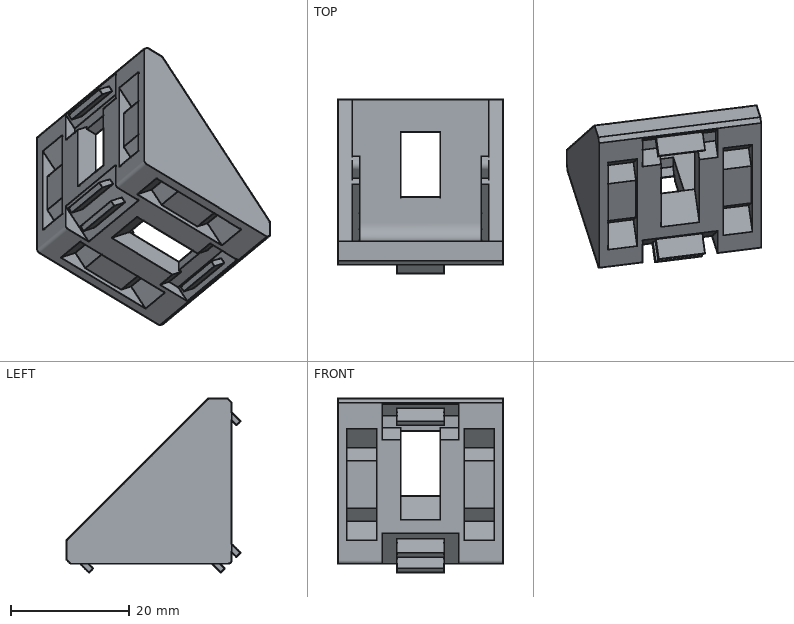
import cadquery as cq
import math

OVERALL = 29.5
LEG = 28.0
WIDTH = LEG
PLATE = 4.0
END_CHAMFER = 0.7
CORNER_RADIUS = 0.6

WALL = 2.48
HOLLOW_RADIUS = 3.0

RIB_THICKNESS = 2.07
RIB_PROJECTION = 1.2
RIB_GAP = 2.55
RIB_LIP_RADIUS = 1.0

SLOT_WIDTH = 6.6
SLOT_START = 7.5
SLOT_END = 22.5

SIDE_POCKET_WIDTH = 5.02
SIDE_POCKET_INSET = 1.53
SIDE_POCKET_START = PLATE
SIDE_POCKET_END = 22.87
SIDE_POCKET_DEPTH = 3.22
SIDE_POCKET_RAISED_DEPTH = 1.0

RECESS_WIDTH = 13.0
CORNER_RECESS = 5.13
END_RECESS_START = 21.05
END_RECESS_END = 27.05
END_RECESS_DEPTH = 2.0

TAB_WIDTH = 8.0
TAB_THICKNESS = 1.0
TAB_REACH = OVERALL - LEG
CORNER_TAB_TIP = 1.85
END_TAB_TIP = 24.17

DIAGONAL = LEG + PLATE
MID_X = WIDTH / 2


def extrude_yz(points, width, center_x=MID_X):
    """Prism along X from a closed (Y, Z) outline."""
    start = center_x - width / 2
    return cq.Workplane("YZ", origin=(start, 0, 0)).polyline(points).close().extrude(width)


def both_legs(points, width, center_x=MID_X):
    """The same prism on both legs, mirrored by swapping Y and Z."""
    swapped = [(z, y) for y, z in points]
    return extrude_yz(points, width, center_x).union(extrude_yz(swapped, width, center_x))


def diagonal_point(across, depth):
    """(Y, Z) at a distance across the plane Y = Z and a depth below the sloped face."""
    along = DIAGONAL / math.sqrt(2) - depth
    return ((along + across) / math.sqrt(2), (along - across) / math.sqrt(2))


def make_block():
    outline = [
        (0, 0),
        (LEG - END_CHAMFER, 0),
        (LEG, END_CHAMFER),
        (LEG, PLATE),
        (PLATE, LEG),
        (END_CHAMFER, LEG),
        (0, LEG - END_CHAMFER),
    ]
    block = extrude_yz(outline, WIDTH)
    block = block.edges(cq.selectors.NearestToPointSelector((MID_X, 0, 0))).fillet(CORNER_RADIUS)
    hollow = extrude_yz([(PLATE, PLATE), (LEG, PLATE), (LEG, LEG), (PLATE, LEG)], WIDTH - 2 * WALL)
    inner_corner = cq.selectors.NearestToPointSelector((MID_X, PLATE, PLATE))
    return block.cut(hollow.edges(inner_corner).fillet(HOLLOW_RADIUS))


def make_rib(center_x, side):
    """One rib, square to the sloped face; side is +1 or -1 for its side of the plane Y = Z."""
    inner = side * RIB_GAP / 2
    outer = side * (RIB_GAP / 2 + RIB_THICKNESS)
    lip_end = side * (RIB_GAP / 2 + RIB_LIP_RADIUS)
    lip_inset = RIB_LIP_RADIUS * (1 - math.sqrt(0.5))
    root = (DIAGONAL - 2 * PLATE) / math.sqrt(2)
    return (
        cq.Workplane("YZ", origin=(center_x - RIB_PROJECTION / 2, 0, 0))
        .moveTo(*diagonal_point(outer, root))
        .lineTo(*diagonal_point(outer, 0))
        .lineTo(*diagonal_point(lip_end, 0))
        .threePointArc(
            diagonal_point(inner + side * lip_inset, lip_inset),
            diagonal_point(inner, RIB_LIP_RADIUS),
        )
        .lineTo(*diagonal_point(inner, root))
        .close()
        .extrude(RIB_PROJECTION)
    )


def make_bolt_slots():
    """Bolt slots, widened at the outer face so that they open into the end recesses."""
    recess_floor = END_RECESS_START + END_RECESS_DEPTH
    outline = [
        (0, SLOT_START),
        (PLATE, SLOT_START + PLATE),
        (PLATE, SLOT_END),
        (END_RECESS_DEPTH, SLOT_END),
        (END_RECESS_DEPTH, recess_floor),
        (0, recess_floor),
    ]
    return both_legs(outline, SLOT_WIDTH)


def make_side_pockets(center_x):
    rise = SIDE_POCKET_DEPTH - SIDE_POCKET_RAISED_DEPTH
    low = SIDE_POCKET_START + SIDE_POCKET_DEPTH
    high = SIDE_POCKET_END - SIDE_POCKET_DEPTH
    outline = [
        (0, SIDE_POCKET_START),
        (SIDE_POCKET_DEPTH, low),
        (SIDE_POCKET_RAISED_DEPTH, low + rise),
        (SIDE_POCKET_RAISED_DEPTH, high - rise),
        (SIDE_POCKET_DEPTH, high),
        (0, SIDE_POCKET_END),
    ]
    return both_legs(outline, SIDE_POCKET_WIDTH, center_x)


def make_recesses():
    corner = extrude_yz([(0, 0), (CORNER_RECESS, 0), (0, CORNER_RECESS)], RECESS_WIDTH)
    ends = both_legs(
        [
            (0, END_RECESS_START),
            (END_RECESS_DEPTH, END_RECESS_START + END_RECESS_DEPTH),
            (END_RECESS_DEPTH, END_RECESS_END - END_RECESS_DEPTH),
            (0, END_RECESS_END),
        ],
        RECESS_WIDTH,
    )
    return corner.union(ends)


def make_tabs(recess_edge, tip):
    """Tabs square to the recess face Y + Z = recess_edge, with their outermost edge at height tip."""
    step = TAB_THICKNESS / math.sqrt(2)
    rise = tip + TAB_REACH
    root_y = (recess_edge - rise) / 2
    root_z = (recess_edge + rise) / 2
    outline = [
        (-TAB_REACH, tip),
        (root_y, root_z),
        (root_y + step, root_z - step),
        (step - TAB_REACH, tip - step),
    ]
    return both_legs(outline, TAB_WIDTH)


result = make_block()
rib_x = WALL + RIB_PROJECTION / 2
pocket_x = SIDE_POCKET_INSET + SIDE_POCKET_WIDTH / 2
for x in (rib_x, WIDTH - rib_x):
    for side in (1, -1):
        result = result.union(make_rib(x, side))
for x in (pocket_x, WIDTH - pocket_x):
    result = result.cut(make_side_pockets(x))
result = result.cut(make_bolt_slots()).cut(make_recesses())
result = result.union(make_tabs(CORNER_RECESS, CORNER_TAB_TIP))
result = result.union(make_tabs(END_RECESS_END, END_TAB_TIP))